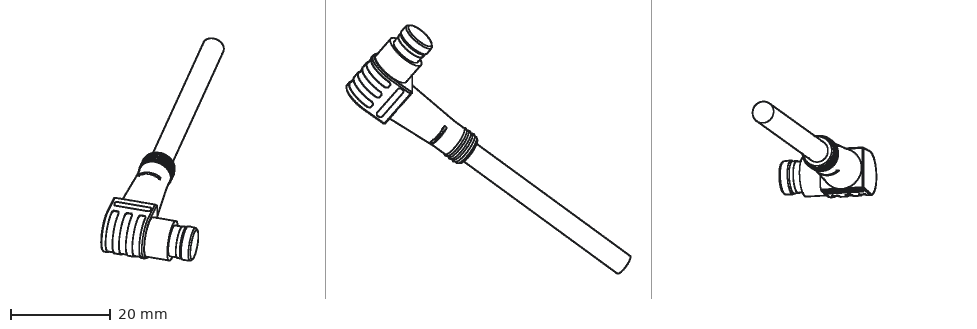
import cadquery as cq
import math


total_length = 68.0

head_radius = 4.5
head_half_width = 4.5
head_back = 5.5
flat_tilt = math.radians(3)
edge_chamfer = 0.2
nose_edge_chamfer_length = 0.4
nose_edge_chamfer_depth = 0.15

groove_pitch = 2.8
groove_width = 1.4
groove_depth = 0.17
groove_end_width = 0.9
groove_taper_start = 0.4
groove_end = 0.9

recess_length = 7.6
recess_width = 1.35
recess_y = 3.3
recess_depth = 0.1
recess_corner = 0.51

cable_radius = 4.4 / 2
cable_end = total_length - head_radius
boot_end = 23.45
boot_radius = 6.5 / 2
boot_base_radius = 8.2 / 2
boot_taper_start = 17.5
boot_end_chamfer_length = 0.4
boot_end_chamfer_depth = 0.3
ring_peak_radius = 6.9 / 2
ring_section_radius = 0.305
ring_pitch = 1.0
ring_middle_y = 21.2
notch_start = 15.6
notch_width = 0.6
notch_floor = 2.5

collar_radius = 8.1 / 2
collar_end = 9.25
neck_radius = 6.3 / 2
neck_end = 10.8
sleeve_radius = 6.5 / 2
sleeve_end = 11.6
tip_radius = 6.9 / 2
tip_start = 12.0
tip_land_end = 12.5
tip_front_radius = 6.7 / 2
tip_end = 13.8
tip_chamfer = 0.35


def make_head_core(inset):
    """Rounded end closed by two flats that lean together towards the boot, shrunk by inset."""
    radius = head_radius - inset
    tangent_y = radius * math.sin(flat_tilt)
    tangent_z = radius * math.cos(flat_tilt)
    back_z = (radius - head_back * math.sin(flat_tilt)) / math.cos(flat_tilt)
    return (
        cq.Workplane("YZ")
        .moveTo(head_back, -back_z)
        .lineTo(head_back, back_z)
        .lineTo(tangent_y, tangent_z)
        .threePointArc((-radius, 0), (tangent_y, -tangent_z))
        .close()
        .extrude(head_half_width, both=True)
    )


def make_head():
    """Head block with broken edges at the back, on the outer side and around the nose."""
    head = make_head_core(0)
    head = head.faces(">Y").edges("|X").chamfer(edge_chamfer)
    head = head.faces("<X").chamfer(edge_chamfer)
    return head.faces(">X").edges("not |Z").chamfer(nose_edge_chamfer_depth, nose_edge_chamfer_length)


def make_groove(center_x):
    """Even-depth groove around the rounded end, narrowing where it runs out onto the flats."""
    reach = 2 * head_radius
    plan = (
        cq.Workplane("XY", origin=(center_x, 0, -reach))
        .moveTo(-groove_width / 2, -reach)
        .lineTo(groove_width / 2, -reach)
        .lineTo(groove_width / 2, groove_taper_start)
        .lineTo(groove_end_width / 2, groove_end)
        .lineTo(-groove_end_width / 2, groove_end)
        .lineTo(-groove_width / 2, groove_taper_start)
        .close()
        .extrude(2 * reach)
    )
    return plan.cut(make_head_core(groove_depth))


def make_recess():
    """Shallow rounded pocket in the upper flat, following its tilt."""
    tangent_y = head_radius * math.sin(flat_tilt)
    tangent_z = head_radius * math.cos(flat_tilt)
    flat = cq.Plane(
        origin=(0, tangent_y, tangent_z),
        xDir=(1, 0, 0),
        normal=(0, math.sin(flat_tilt), math.cos(flat_tilt)),
    )
    return (
        cq.Workplane(flat)
        .center(0, (recess_y - tangent_y) / math.cos(flat_tilt))
        .sketch()
        .rect(recess_length, recess_width)
        .vertices()
        .fillet(recess_corner)
        .finalize()
        .extrude(-recess_depth)
    )


def make_boot():
    """Tapered strain relief with the cable leaving its end."""
    body = (
        cq.Workplane("XY")
        .moveTo(0, 0)
        .lineTo(boot_base_radius, 0)
        .lineTo(boot_base_radius, head_back)
        .lineTo(boot_radius, boot_taper_start)
        .lineTo(boot_radius, boot_end - boot_end_chamfer_length)
        .lineTo(boot_radius - boot_end_chamfer_depth, boot_end)
        .lineTo(cable_radius, boot_end)
        .lineTo(cable_radius, cable_end)
        .lineTo(0, cable_end)
        .close()
        .revolve(360, (0, 0, 0), (0, 1, 0))
    )
    ring_center_radius = ring_peak_radius - ring_section_radius
    for ring_number in (-1, 0, 1):
        ring = (
            cq.Workplane("XY")
            .moveTo(ring_center_radius, ring_middle_y + ring_number * ring_pitch)
            .circle(ring_section_radius)
            .revolve(360, (0, 0, 0), (0, 1, 0))
        )
        body = body.union(ring)
    notch = cq.Workplane("XY", origin=(0, notch_start, notch_floor)).box(
        2 * boot_base_radius, notch_width, boot_base_radius, centered=(True, False, False)
    )
    return body.cut(notch).cut(notch.mirror("XY"))


def make_nose():
    """Stepped plug: collar, neck, sleeve and a wider tip that narrows towards its end."""
    return (
        cq.Workplane("XY")
        .moveTo(0, 0)
        .lineTo(0, collar_radius)
        .lineTo(collar_end, collar_radius)
        .lineTo(collar_end, neck_radius)
        .lineTo(neck_end, neck_radius)
        .lineTo(neck_end, sleeve_radius)
        .lineTo(sleeve_end, sleeve_radius)
        .lineTo(tip_start, tip_radius)
        .lineTo(tip_land_end, tip_radius)
        .lineTo(tip_end - tip_chamfer, tip_front_radius)
        .lineTo(tip_end, tip_front_radius - tip_chamfer)
        .lineTo(tip_end, 0)
        .close()
        .revolve(360, (0, 0, 0), (1, 0, 0))
    )


head = make_head()
for groove_number in (-1, 0, 1):
    head = head.cut(make_groove(groove_number * groove_pitch))
recess = make_recess()
head = head.cut(recess).cut(recess.mirror("XY"))

result = head.union(make_boot()).union(make_nose())